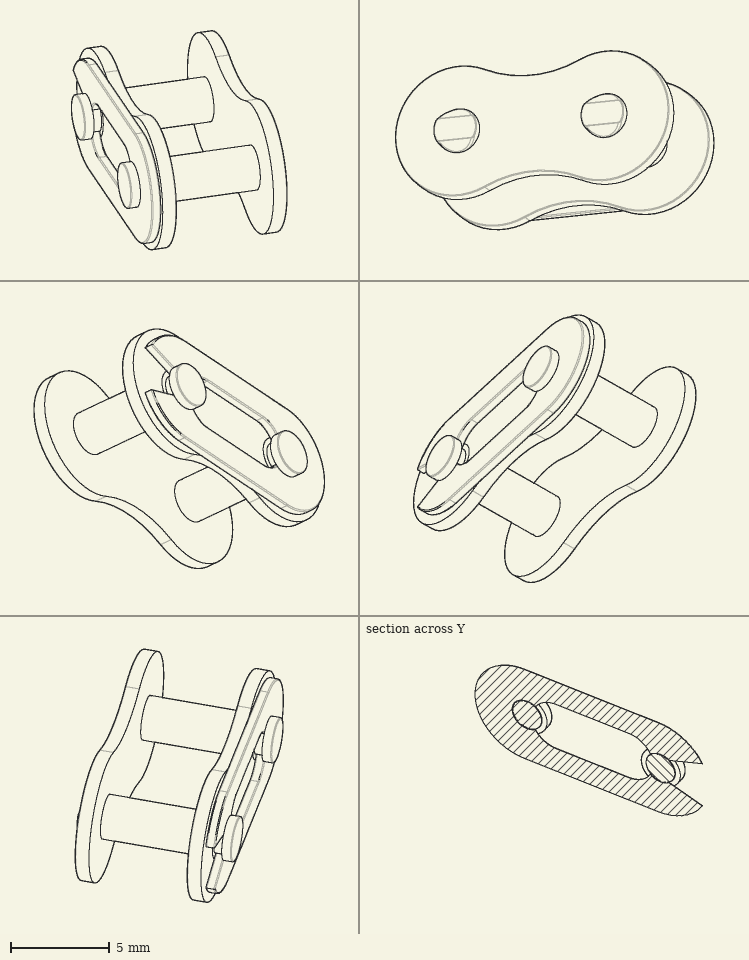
import cadquery as cq
import math

length = 14.88
plate_height = 6.87
total_depth = 8.15
lobe_radius = plate_height / 2
pin_x = length / 2 - lobe_radius
pin_positions = (-pin_x, pin_x)

plate_thickness = 0.75
waist_tangent_x = 2.57
plate_edge_fillet = 0.05
pin_radius = 1.16

head_length = 0.5
clip_thickness = 0.49
tip_length = 0.5
head_front_y = -total_depth / 2
clip_front_y = head_front_y + head_length
front_plate_front_y = clip_front_y + clip_thickness
pin_tip_y = total_depth / 2
back_plate_back_y = pin_tip_y - tip_length
back_plate_front_y = back_plate_back_y - plate_thickness

neck_radius = 0.88
head_radius = 1.18
pin_end_fillet = 0.05
tip_half_height = 0.6
bevel_fillet = 0.15

clip_radius = 2.98
clip_left_x = -3.9
clip_right_x = 4.18
clip_edge_fillet = 0.06
slot_radius = 1.45
slot_left_x = -2.1
slot_right_x = 2.26
mouth_half_height = 1.38
mouth_slope = 0.33


def along_y(start_y):
    """Sketch plane at start_y with X right and Z up; a negative extrusion goes toward +Y."""
    return cq.Workplane("XZ", origin=(0, start_y, 0))


def make_plate(front_y):
    """Figure-eight link plate with a concave waist and two pin holes."""
    tangent_dx = pin_x - waist_tangent_x
    tangent_z = math.sqrt(lobe_radius**2 - tangent_dx**2)
    centers_distance = lobe_radius * pin_x / tangent_dx
    waist_radius = centers_distance - lobe_radius
    waist_z = centers_distance * tangent_z / lobe_radius - waist_radius
    outline = (
        along_y(front_y)
        .moveTo(-waist_tangent_x, tangent_z)
        .threePointArc((0, waist_z), (waist_tangent_x, tangent_z))
        .threePointArc((length / 2, 0), (waist_tangent_x, -tangent_z))
        .threePointArc((0, -waist_z), (-waist_tangent_x, -tangent_z))
        .threePointArc((-length / 2, 0), (-waist_tangent_x, tangent_z))
        .close()
    )
    plate = outline.extrude(-plate_thickness).faces(">Y").edges().fillet(plate_edge_fillet)
    holes = (
        along_y(front_y)
        .pushPoints([(x, 0) for x in pin_positions])
        .circle(pin_radius)
        .extrude(-plate_thickness)
    )
    return plate.cut(holes)


def make_pin(x):
    """Round pin with a rounded head rim, a neck for the clip and a wedge-shaped tip."""
    shank = along_y(front_plate_front_y).circle(pin_radius).extrude(front_plate_front_y - pin_tip_y)

    wedge = (
        cq.Workplane("YZ")
        .moveTo(front_plate_front_y, -pin_radius)
        .lineTo(back_plate_back_y, -pin_radius)
        .lineTo(pin_tip_y, -tip_half_height)
        .lineTo(pin_tip_y, tip_half_height)
        .lineTo(back_plate_back_y, pin_radius)
        .lineTo(front_plate_front_y, pin_radius)
        .close()
        .extrude(pin_radius, both=True)
    )
    shank = shank.intersect(wedge)

    shank = shank.edges("%ELLIPSE").fillet(bevel_fillet)
    shank = shank.faces(">Y").edges().fillet(pin_end_fillet)

    neck = along_y(clip_front_y).circle(neck_radius).extrude(-clip_thickness)
    head = along_y(head_front_y).circle(head_radius).extrude(-head_length)
    head = head.faces("<Y").edges().fillet(pin_end_fillet)
    return shank.union(neck).union(head).translate((x, 0, 0))


def make_clip():
    """Flat spring clip: rounded strip with a central slot, two neck seats and an open mouth."""
    corner_x = clip_left_x - math.sqrt(clip_radius**2 - mouth_half_height**2)
    mouth_inner_z = mouth_half_height - mouth_slope * (-pin_x - corner_x)

    body = (
        along_y(clip_front_y)
        .moveTo(clip_left_x, clip_radius)
        .lineTo(clip_right_x, clip_radius)
        .threePointArc((clip_right_x + clip_radius, 0), (clip_right_x, -clip_radius))
        .lineTo(clip_left_x, -clip_radius)
        .threePointArc((clip_left_x - clip_radius, 0), (clip_left_x, clip_radius))
        .close()
        .extrude(-clip_thickness)
    )
    seats = (
        along_y(clip_front_y)
        .pushPoints([(x, 0) for x in pin_positions])
        .circle(neck_radius)
        .extrude(-clip_thickness)
    )
    slot = (
        along_y(clip_front_y)
        .center((slot_left_x + slot_right_x) / 2, 0)
        .slot2D(slot_right_x - slot_left_x + 2 * slot_radius, 2 * slot_radius)
        .extrude(-clip_thickness)
    )
    outer_x = corner_x - clip_radius
    outer_z = mouth_half_height + mouth_slope * clip_radius
    mouth = (
        along_y(clip_front_y)
        .polyline(
            [
                (outer_x, outer_z),
                (-pin_x, mouth_inner_z),
                (-pin_x, -mouth_inner_z),
                (outer_x, -outer_z),
            ]
        )
        .close()
        .extrude(-clip_thickness)
    )
    clip = body.cut(seats).cut(slot).cut(mouth)
    return clip.faces("<Y or >Y").edges().fillet(clip_edge_fillet)


front_plate = make_plate(front_plate_front_y)
back_plate = make_plate(back_plate_front_y)
pins = [make_pin(x) for x in pin_positions]
spring_clip = make_clip()

result = cq.Compound.makeCompound(
    [front_plate.val(), back_plate.val(), spring_clip.val(), *[pin.val() for pin in pins]]
)